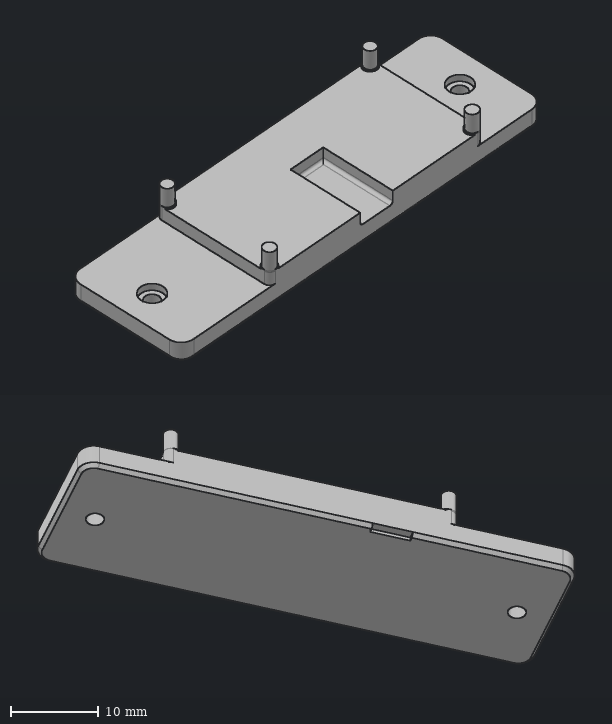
import cadquery as cq

PLATE_WIDTH = 18.0
PLATE_LENGTH = 60.0
PLATE_HEIGHT = 3.0
PLATE_CORNER_RADIUS = 2.0
BOTTOM_CHAMFER = 0.5

DECK_LENGTH = 35.4
DECK_CENTER_Y = 2.3
DECK_TOP = 5.0

PIN_DIAMETER = 1.8
PIN_TOP = 8.0
COLLAR_DIAMETER = 2.1
COLLAR_HEIGHT = 0.2

HOLE_DIAMETER = 2.1
COUNTERBORE_DIAMETER = 3.5
COUNTERBORE_DEPTH = 1.0
HOLE_SPACING = 51.0

SLOT_START_X = -2.05
SLOT_WIDTH = 5.4
SLOT_FLOOR_FILLET = 0.5

NOTCH_CENTER_Y = -7.5
NOTCH_WIDTH = 4.85
NOTCH_DEPTH = 1.0
NOTCH_HEIGHT = BOTTOM_CHAMFER

PIN_RADIUS = PIN_DIAMETER / 2
PIN_SPACING_X = PLATE_WIDTH - PIN_DIAMETER
PIN_SPACING_Y = DECK_LENGTH - PIN_DIAMETER


def block(x_min, x_max, center_y, length, z_min, z_max):
    """Box between two X limits and two Z limits, centred on center_y."""
    size_x = x_max - x_min
    box = cq.Workplane("XY").box(size_x, length, z_max - z_min, centered=(False, True, False))
    return box.translate((x_min, center_y, z_min))


def make_plate():
    plate = block(-PLATE_WIDTH / 2, PLATE_WIDTH / 2, 0, PLATE_LENGTH, 0, PLATE_HEIGHT)
    return plate.edges("|Z").fillet(PLATE_CORNER_RADIUS).faces("<Z").chamfer(BOTTOM_CHAMFER)


def make_deck(z_min, z_max):
    deck = block(-PLATE_WIDTH / 2, PLATE_WIDTH / 2, DECK_CENTER_Y, DECK_LENGTH, z_min, z_max)
    return deck.edges("|Z").fillet(PIN_RADIUS)


def make_posts(diameter, z_min, z_max):
    """Four round posts on the deck corners."""
    return (
        cq.Workplane("XY", origin=(0, DECK_CENTER_Y, z_min))
        .rect(PIN_SPACING_X, PIN_SPACING_Y, forConstruction=True)
        .vertices()
        .circle(diameter / 2)
        .extrude(z_max - z_min)
    )


def make_collars():
    """Pin collars, trimmed flush with the deck sides."""
    collar_top = DECK_TOP + COLLAR_HEIGHT
    collars = make_posts(COLLAR_DIAMETER, DECK_TOP, collar_top)
    return collars.intersect(make_deck(DECK_TOP, collar_top))


def make_slot():
    """Slot cutter, rounded along its floor except at the open end."""
    slot = block(SLOT_START_X, PLATE_WIDTH, DECK_CENTER_Y, SLOT_WIDTH, PLATE_HEIGHT, DECK_TOP)
    return slot.faces("<Z").edges("|X or <X").fillet(SLOT_FLOOR_FILLET)


def make_screw_hole(center_y):
    """Through hole with a counterbore sunk from the top of the plate."""
    hole = cq.Workplane("XY", origin=(0, center_y, 0)).circle(HOLE_DIAMETER / 2).extrude(PLATE_HEIGHT)
    counterbore = (
        cq.Workplane("XY", origin=(0, center_y, PLATE_HEIGHT - COUNTERBORE_DEPTH))
        .circle(COUNTERBORE_DIAMETER / 2)
        .extrude(COUNTERBORE_DEPTH)
    )
    return hole.union(counterbore)


def make_notch():
    side = -PLATE_WIDTH / 2
    return block(side, side + NOTCH_DEPTH, NOTCH_CENTER_Y, NOTCH_WIDTH, 0, NOTCH_HEIGHT)


body = make_plate().union(make_deck(PLATE_HEIGHT, DECK_TOP))
body = body.cut(make_slot()).cut(make_notch())
for hole_y in (-HOLE_SPACING / 2, HOLE_SPACING / 2):
    body = body.cut(make_screw_hole(hole_y))
result = body.union(make_collars()).union(make_posts(PIN_DIAMETER, DECK_TOP, PIN_TOP))